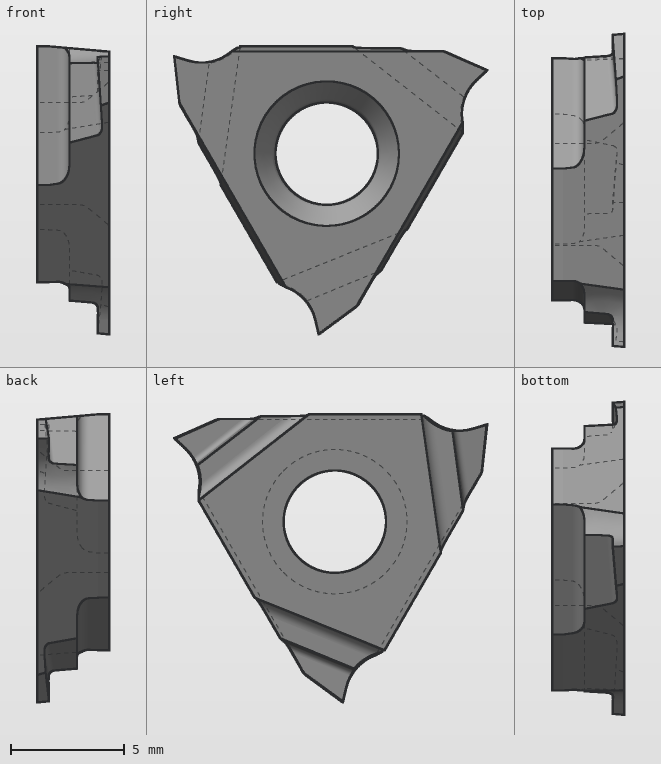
import cadquery as cq
import math

thickness = 3.19
hole_radius = 2.25
side_distance = 4.73
land_depth = 0.5
side_draft = 5

groove_angle = 8
main_wall = 4.43
main_floor_depth = 1.42
main_fillet = 0.51
tip_wall = 5.76
tip_wall_lean = 5
tip_fillet = 0.28
tip_floor_depth = 2.66
tip_floor_tilt = 4
tip_pivot_height = 3.31

point_u = 6.72
point_v = 4.29
end_angle = 6.3
end_flare = 4
flank_radius = 2.01
flank_center_u = 5.5
flank_center_v = 6.03
flank_flare = 2

lip_radius = 0.58
cone_angle = 40
lip_start_depth = 1.86

reach = 11.03
margin = 0.14


def face_plane(depth):
    """Plane parallel to the faces, with local x = u, y = v, and its normal toward the front."""
    return cq.Plane(origin=(depth, 0, 0), xDir=(0, -1, 0), normal=(-1, 0, 0))


def triangle(depth, distance):
    corners = [(2 * distance * math.cos(math.radians(a)), 2 * distance * math.sin(math.radians(a)))
               for a in (30, 150, 270)]
    return cq.Workplane(face_plane(depth)).polyline(corners).close()


def make_body():
    drafted_depth = thickness - land_depth
    inset = drafted_depth * math.tan(math.radians(side_draft))
    land = triangle(land_depth, side_distance).extrude(land_depth)
    back_wire = triangle(thickness, side_distance - inset).wire().val()
    land_wire = triangle(land_depth, side_distance).wire().val()
    return land.union(cq.Workplane(obj=cq.Solid.makeLoft([back_wire, land_wire], True)))


def groove_plane(tilt, height, depth):
    """Section plane across a groove: local x = groove normal, local y = depth."""
    angle = math.radians(groove_angle)
    slope = math.radians(tilt)
    along = cq.Vector(0, math.sin(angle), math.cos(angle))
    across = cq.Vector(0, -math.cos(angle), math.sin(angle))
    normal = along * math.cos(slope) - cq.Vector(math.sin(slope), 0, 0)
    origin = along * height + cq.Vector(depth, 0, 0)
    return cq.Plane(origin=origin, xDir=across, normal=normal)


def main_groove():
    return (
        cq.Workplane(groove_plane(0, 0, main_floor_depth))
        .moveTo(main_wall, -main_floor_depth - margin)
        .lineTo(main_wall, -main_fillet)
        .radiusArc((main_wall + main_fillet, 0), main_fillet)
        .lineTo(reach, 0)
        .lineTo(reach, -main_floor_depth - margin)
        .close()
        .extrude(reach, both=True)
    )


def tip_groove():
    wall_height = tip_floor_depth - tip_fillet
    wall_lean = wall_height * math.tan(math.radians(tip_wall_lean))
    return (
        cq.Workplane(groove_plane(tip_floor_tilt, tip_pivot_height, tip_floor_depth))
        .moveTo(tip_wall - wall_lean, -tip_floor_depth)
        .lineTo(tip_wall, -tip_fillet)
        .radiusArc((tip_wall + tip_fillet, 0), tip_fillet)
        .lineTo(reach, 0)
        .lineTo(reach, -tip_floor_depth)
        .close()
        .extrude(reach, both=True)
    )


def flank_relief():
    """Concave flank cutter: an arc that runs straight, on its tangent, out through the point."""
    to_point_u = point_u - flank_center_u
    to_point_v = point_v - flank_center_v
    point_distance = math.hypot(to_point_u, to_point_v)
    tangent_angle = math.atan2(to_point_v, to_point_u) - math.acos(flank_radius / point_distance)
    tangent_u = flank_center_u + flank_radius * math.cos(tangent_angle)
    tangent_v = flank_center_v + flank_radius * math.sin(tangent_angle)
    far_u = point_u + flank_radius
    far_v = tangent_v - (far_u - tangent_u) / math.tan(tangent_angle)
    left_u = flank_center_u - flank_radius
    return (
        cq.Workplane(face_plane(thickness))
        .moveTo(far_u, far_v)
        .lineTo(tangent_u, tangent_v)
        .tangentArcPoint((left_u, flank_center_v), relative=False)
        .lineTo(left_u, reach)
        .lineTo(far_u, reach)
        .close()
        .extrude(thickness, taper=-flank_flare)
    )


def end_cut():
    """Everything beyond the flared end face of the cutting point."""
    angle = math.radians(end_angle)
    flare = math.radians(end_flare)
    across = cq.Vector(0, -math.cos(angle), -math.sin(angle))
    up = cq.Vector(0, -math.sin(angle), math.cos(angle))
    outward = across * math.cos(flare) - cq.Vector(math.sin(flare), 0, 0)
    plane = cq.Plane(origin=(thickness, -point_u, point_v), xDir=up, normal=outward)
    return cq.Workplane(plane).rect(2 * reach, 2 * reach).extrude(reach)


def bore():
    """Through bore with a rounded countersink opening at the back."""
    angle = math.radians(cone_angle)
    lip_end_depth = lip_start_depth + lip_radius * math.sin(angle)
    lip_end_radius = hole_radius + lip_radius * (1 - math.cos(angle))
    mouth_radius = lip_end_radius + (thickness - lip_end_depth) * math.tan(angle)
    return (
        cq.Workplane("XY")
        .lineTo(0, hole_radius)
        .lineTo(lip_start_depth, hole_radius)
        .tangentArcPoint((lip_end_depth, lip_end_radius), relative=False)
        .lineTo(thickness, mouth_radius)
        .lineTo(thickness, 0)
        .close()
        .revolve(360, (0, 0, 0), (1, 0, 0))
    )


corner_cutters = [main_groove(), tip_groove(), flank_relief(), end_cut()]
result = make_body()
for turn in (0, 120, 240):
    for cutter in corner_cutters:
        result = result.cut(cutter.rotate((0, 0, 0), (1, 0, 0), turn))
result = result.cut(bore())